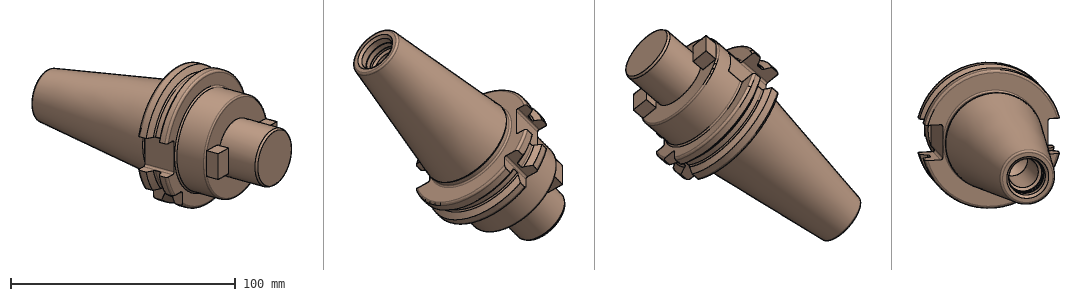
import cadquery as cq
import math

total_length = 124.2
gauge_x = 68.0
flange_start = 71.3
flange_width = 15.9
flange_end = flange_start + flange_width
collar_length = 16.0
collar_end = flange_end + collar_length

gauge_radius = 22.2
taper_slope = 7 / 48
small_end_radius = gauge_radius - gauge_x * taper_slope
small_end_rounding = 0.9
neck_radius = 21.9
neck_bevel = 0.6
neck_fillet = 0.7

flange_diameter = 63.5
flange_radius = flange_diameter / 2
flange_rounding = 1.1
groove_offset = 8.2
groove_centre = flange_start + groove_offset
groove_mouth = 7.2
groove_wall_depth = 3.0
groove_half_angle = math.radians(30)
groove_diameter = 56.0
groove_radius = groove_diameter / 2
groove_fillet = 0.6

collar_diameter = 48.1
collar_radius = collar_diameter / 2
collar_rounding = 0.7
collar_fillet = 0.7
spigot_radius = 13.5
spigot_bevel_length = 1.1
spigot_bevel_height = 0.6

rim_clearance = 1.2
lug_embed = 1.2

slot_width = 16.2
slot_fillet = 1.0
near_slot_floor = 25.2
far_slot_floor = 22.7
far_slot_runout = 8.1
notch_y = 18.8
notch_z = 18.6

lug_width = 12.4
lug_length = 6.2
lug_inner = 14.5
lug_outer = 22.6

bore_mouth_radius = 9.6
pilot_radius = 8.3
pilot_depth = 4.3
thread_radius = 8.0
thread_depth = 7.0
relief_radius = 8.2
relief_end = 8.2
core_radius = 6.8
core_start = 9.1
core_end = 31.1
drill_half_angle = math.radians(59)


def revolve_about_x(points):
    """Revolve a closed (x, radius) outline about the X axis."""
    return cq.Workplane("XY").polyline(points).close().revolve(360, (0, 0, 0), (1, 0, 0))


def block(x_range, y_range, z_range):
    """Axis-aligned box between the given limits."""
    (x0, x1), (y0, y1), (z0, z1) = x_range, y_range, z_range
    return cq.Workplane("XY").box(x1 - x0, y1 - y0, z1 - z0, centered=False).translate((x0, y0, z0))


def make_body():
    """Taper, neck, flange, collar and spigot as one turned solid."""
    outline = (
        cq.Workplane("XY")
        .moveTo(0, 0)
        .lineTo(0, small_end_radius - small_end_rounding)
        .tangentArcPoint((small_end_rounding, small_end_rounding * (1 + taper_slope)))
        .lineTo(gauge_x, gauge_radius)
        .lineTo(gauge_x + neck_bevel, neck_radius)
        .lineTo(flange_start - neck_fillet, neck_radius)
        .tangentArcPoint((neck_fillet, neck_fillet))
        .lineTo(flange_start, flange_radius - flange_rounding)
        .tangentArcPoint((flange_rounding, flange_rounding))
        .lineTo(flange_end - flange_rounding, flange_radius)
        .tangentArcPoint((flange_rounding, -flange_rounding))
        .lineTo(flange_end, collar_radius + collar_fillet)
        .tangentArcPoint((collar_fillet, -collar_fillet))
        .lineTo(collar_end - collar_rounding, collar_radius)
        .tangentArcPoint((collar_rounding, -collar_rounding))
        .lineTo(collar_end, spigot_radius)
        .lineTo(total_length - spigot_bevel_length, spigot_radius)
        .lineTo(total_length, spigot_radius - spigot_bevel_height)
        .lineTo(total_length, 0)
        .close()
    )
    return outline.revolve(360, (0, 0, 0), (1, 0, 0))


def make_groove():
    """Ring cutter for the V groove: sloping walls above a straight-sided floor."""
    half_mouth = groove_mouth / 2
    half_floor = half_mouth - groove_wall_depth * math.tan(groove_half_angle)
    wall_foot = flange_radius - groove_wall_depth
    outside = flange_radius + rim_clearance
    ring = revolve_about_x([
        (groove_centre - half_mouth, outside),
        (groove_centre - half_mouth, flange_radius),
        (groove_centre - half_floor, wall_foot),
        (groove_centre - half_floor, groove_radius),
        (groove_centre + half_floor, groove_radius),
        (groove_centre + half_floor, wall_foot),
        (groove_centre + half_mouth, flange_radius),
        (groove_centre + half_mouth, outside),
    ])
    floor_corners = cq.selectors.RadiusNthSelector(0)
    return ring.edges("%CIRCLE").edges(floor_corners).fillet(groove_fillet)


def make_slot(side, floor, end):
    """Cutter for a drive slot on the +Y (side = 1) or -Y (side = -1) flank of the flange."""
    outside = flange_radius + rim_clearance
    y_range = sorted((side * floor, side * outside))
    slot = block((flange_start, end), y_range, (-slot_width / 2, slot_width / 2))
    floor_side = "<Y" if side > 0 else ">Y"
    return slot.faces(floor_side).edges("|X").fillet(slot_fillet)


def make_notch():
    """Cutter for the square orientation notch at the -Y, -Z rim of the flange."""
    outside = flange_radius + rim_clearance
    notch = block((flange_start, flange_end), (-outside, -notch_y), (-outside, -notch_z))
    return notch.edges("|X and >Y and >Z").fillet(slot_fillet)


def make_lug(side):
    """Drive lug standing on the front face of the collar."""
    y_range = sorted((side * lug_inner, side * lug_outer))
    x_range = (collar_end - lug_embed, collar_end + lug_length)
    return block(x_range, y_range, (-lug_width / 2, lug_width / 2))


def make_bore():
    """Stepped blind bore with a drilled point."""
    tip = core_end + core_radius / math.tan(drill_half_angle)
    return revolve_about_x([
        (0, 0),
        (0, bore_mouth_radius),
        (bore_mouth_radius - pilot_radius, pilot_radius),
        (pilot_depth, pilot_radius),
        (pilot_depth, thread_radius),
        (thread_depth, thread_radius),
        (thread_depth, relief_radius),
        (relief_end, relief_radius),
        (core_start, core_radius),
        (core_end, core_radius),
        (tip, 0),
    ])


result = make_body().cut(make_groove())
result = result.cut(make_slot(-1, near_slot_floor, flange_end))
result = result.cut(make_slot(1, far_slot_floor, flange_end + far_slot_runout))
result = result.cut(make_notch())
for side in (-1, 1):
    result = result.union(make_lug(side))
result = result.cut(make_bore())